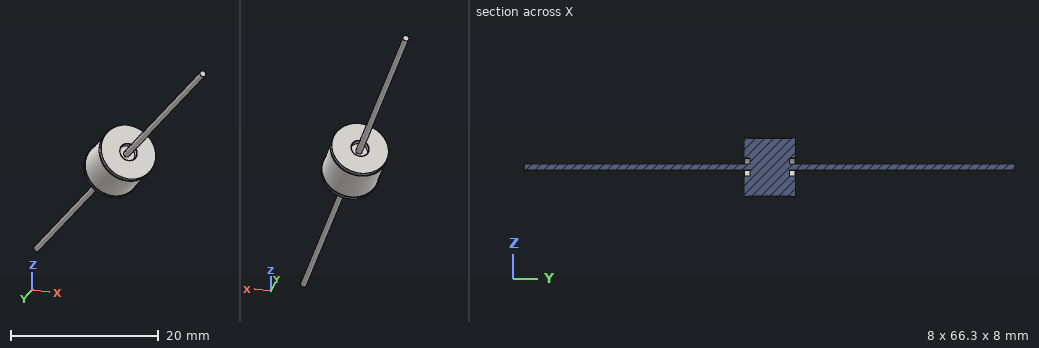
import cadquery as cq

wire_length = 66.3
wire_diameter = 0.85
flange_diameter = 8.0
flange_thickness = 0.6
flange_edge_radius = 0.2
drum_diameter = 7.8
body_length = 6.95
recess_diameter = 2.4
recess_rim_chamfer = 0.05
recess_depth = 0.8


def cylinder_along_y(diameter, length, center_y=0.0):
    """Solid cylinder on the Y axis, centred at center_y."""
    start = cq.Workplane("XZ", origin=(0, center_y + length / 2, 0))
    return start.circle(diameter / 2).extrude(length)


body = cylinder_along_y(drum_diameter, body_length)

for side, outer_face in ((-1, "<Y"), (1, ">Y")):
    flange_center = side * (body_length - flange_thickness) / 2
    flange = cylinder_along_y(flange_diameter, flange_thickness, flange_center)
    body = body.union(flange.faces(outer_face).edges().fillet(flange_edge_radius))
    recess_center = side * (body_length - recess_depth) / 2
    body = body.cut(cylinder_along_y(recess_diameter, recess_depth, recess_center))
    recess_rim = body.faces(outer_face).edges(cq.selectors.RadiusNthSelector(0))
    body = recess_rim.chamfer(recess_rim_chamfer)

result = body.union(cylinder_along_y(wire_diameter, wire_length))